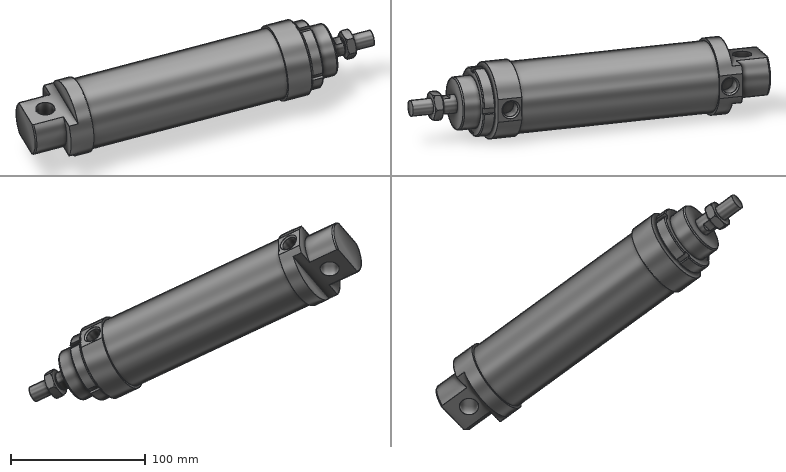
import cadquery as cq
import math

LENGTH = 277.0

CAP_DIA = 58.0
CAP_WIDTH = 56.5
BARREL_DIA = 54.0
NOSE_DIA = 40.0
EDGE_CHAMFER_RADIAL = 0.7
EDGE_CHAMFER_AXIAL = 1.0
TONGUE_START_Y = 25.0
REAR_CAP_FACE_Y = 32.0
REAR_CAP_FRONT_Y = 43.2
FRONT_CAP_REAR_Y = 199.0
FRONT_CAP_FACE_Y = 217.7
NOSE_END_Y = 242.5
TONGUE_THICKNESS = 29.5
PIVOT_HOLE_DIA = 14.0
PIVOT_HOLE_Y = 15.8

PORT_DIA = 11.5
PORT_MOUTH_DIA = 14.0
PORT_DEPTH = 11.0
PORT_YS = (34.5, 207.5)
FLAT_X = CAP_DIA / 2 - CAP_WIDTH

MOUNT_NUT_DIA = 52.0
MOUNT_NUT_REAR_Y = 219.0
MOUNT_NUT_THICKNESS = 9.5
MOUNT_NUT_CHAMFER = 0.8
SLOT_COUNT = 4
SLOT_WIDTH = 4.7
SLOT_DEPTH = 2.8

ROD_DIA = 14.0
NECK_DIA = 10.2
THREAD_DIA = 12.0
ROD_SHOULDER_Y = 253.0
WRENCH_WIDTH = 12.0
WRENCH_END_Y = 247.4
WRENCH_RUNOUT = (ROD_DIA - WRENCH_WIDTH) / 2

ROD_NUT_ACROSS_FLATS = 19.5
ROD_NUT_REAR_Y = 254.3
ROD_NUT_THICKNESS = 6.6
ROD_NUT_CHAMFER = 1.0


def cylinder(diameter, start_y, end_y):
    """Solid cylinder on the Y axis between two Y positions."""
    plane = cq.Plane(origin=(0, start_y, 0), xDir=(1, 0, 0), normal=(0, 1, 0))
    return cq.Workplane(plane).circle(diameter / 2).extrude(end_y - start_y)


def revolve_about_y(points):
    """Revolve a closed outline of (radius, y) points about the Y axis."""
    return cq.Workplane("XY").polyline(points).close().revolve(360, (0, 0), (0, 1))


def chamfered_disc(diameter, start_y, end_y, chamfer):
    """Cylinder on the Y axis with both rims chamfered at 45 degrees."""
    return cylinder(diameter, start_y, end_y).edges().chamfer(chamfer)


def turned_housing():
    """Round housing profile before flats and holes are cut."""
    cap_r = CAP_DIA / 2
    barrel_r = BARREL_DIA / 2
    nose_r = NOSE_DIA / 2
    rim_r = nose_r - EDGE_CHAMFER_RADIAL
    return revolve_about_y([
        (0, 0),
        (rim_r, 0),
        (nose_r, EDGE_CHAMFER_AXIAL),
        (nose_r, TONGUE_START_Y),
        (cap_r, TONGUE_START_Y),
        (cap_r, REAR_CAP_FRONT_Y),
        (barrel_r, REAR_CAP_FRONT_Y),
        (barrel_r, FRONT_CAP_REAR_Y),
        (cap_r, FRONT_CAP_REAR_Y),
        (cap_r, FRONT_CAP_FACE_Y),
        (nose_r, FRONT_CAP_FACE_Y),
        (nose_r, NOSE_END_Y - EDGE_CHAMFER_AXIAL),
        (rim_r, NOSE_END_Y),
        (0, NOSE_END_Y),
    ])


def port(y):
    """Blind port hole with a countersunk mouth, entering from the -X flat."""
    plane = cq.Plane(origin=(FLAT_X, y, 0), xDir=(0, 1, 0), normal=(1, 0, 0))
    hole = cq.Workplane(plane).circle(PORT_DIA / 2).extrude(PORT_DEPTH)
    mouth_depth = (PORT_MOUTH_DIA - PORT_DIA) / 2
    mouth = cq.Solid.makeCone(
        PORT_MOUTH_DIA / 2, PORT_DIA / 2, mouth_depth, cq.Vector(FLAT_X, y, 0), cq.Vector(1, 0, 0)
    )
    return hole.union(cq.Workplane(mouth))


def make_housing():
    body = turned_housing()

    flat_trim = cq.Workplane("XY").box(CAP_DIA, LENGTH, CAP_DIA, centered=(False, False, True))
    body = body.intersect(flat_trim.translate((FLAT_X, 0, 0)))

    tongue_cut = cq.Workplane("XY").box(CAP_DIA, REAR_CAP_FACE_Y, CAP_DIA, centered=(True, False, False))
    body = body.cut(tongue_cut.translate((0, 0, TONGUE_THICKNESS / 2)))
    body = body.cut(tongue_cut.translate((0, 0, -TONGUE_THICKNESS / 2 - CAP_DIA)))

    pivot = cq.Workplane("XY").center(0, PIVOT_HOLE_Y).circle(PIVOT_HOLE_DIA / 2)
    body = body.cut(pivot.extrude(TONGUE_THICKNESS, both=True))

    for y in PORT_YS:
        body = body.cut(port(y))

    return body.cut(cylinder(ROD_DIA, FRONT_CAP_FACE_Y, NOSE_END_Y))


def make_mounting_nut():
    front_y = MOUNT_NUT_REAR_Y + MOUNT_NUT_THICKNESS
    nut = chamfered_disc(MOUNT_NUT_DIA, MOUNT_NUT_REAR_Y, front_y, MOUNT_NUT_CHAMFER)
    nut = nut.cut(cylinder(NOSE_DIA, MOUNT_NUT_REAR_Y, front_y))
    slot = cq.Workplane("XY").box(2 * SLOT_DEPTH, MOUNT_NUT_THICKNESS, SLOT_WIDTH, centered=(True, False, True))
    slot = slot.translate((MOUNT_NUT_DIA / 2, MOUNT_NUT_REAR_Y, 0))
    for i in range(SLOT_COUNT):
        nut = nut.cut(slot.rotate((0, 0, 0), (0, 1, 0), i * 360 / SLOT_COUNT))
    return nut


def make_rod():
    rod = cylinder(ROD_DIA, FRONT_CAP_FACE_Y, ROD_SHOULDER_Y)
    rod = rod.union(cylinder(NECK_DIA, ROD_SHOULDER_Y, ROD_NUT_REAR_Y))
    rod = rod.union(cylinder(THREAD_DIA, ROD_NUT_REAR_Y, LENGTH))

    flat_z = WRENCH_WIDTH / 2
    flat_cut = (
        cq.Workplane("YZ")
        .polyline([
            (WRENCH_END_Y - WRENCH_RUNOUT, ROD_DIA / 2),
            (WRENCH_END_Y, flat_z),
            (ROD_SHOULDER_Y, flat_z),
            (ROD_SHOULDER_Y, ROD_DIA / 2),
        ])
        .close()
        .extrude(ROD_DIA, both=True)
    )
    return rod.cut(flat_cut).cut(flat_cut.mirror("XY"))


def make_rod_nut():
    front_y = ROD_NUT_REAR_Y + ROD_NUT_THICKNESS
    across_corners = ROD_NUT_ACROSS_FLATS / math.cos(math.pi / 6)
    plane = cq.Plane(origin=(0, ROD_NUT_REAR_Y, 0), xDir=(1, 0, 0), normal=(0, 1, 0))
    nut = cq.Workplane(plane).polygon(6, across_corners).extrude(ROD_NUT_THICKNESS)
    nut = nut.intersect(chamfered_disc(across_corners, ROD_NUT_REAR_Y, front_y, ROD_NUT_CHAMFER))
    return nut.cut(cylinder(THREAD_DIA, ROD_NUT_REAR_Y, front_y))


housing = make_housing()
mounting_nut = make_mounting_nut()
rod = make_rod()
rod_nut = make_rod_nut()

result = cq.Compound.makeCompound([
    housing.val(),
    mounting_nut.val(),
    rod.val(),
    rod_nut.val(),
])